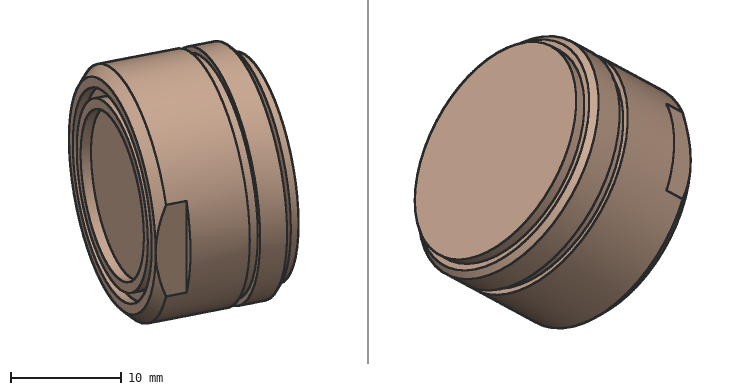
import cadquery as cq

body_diameter = 24.0
total_length = 14.0
front_chamfer = 1.0

boss_diameter = 21.5
boss_length = 1.0
back_chamfer = 0.6

outer_groove_diameter = 22.8
outer_groove_start = 8.75
outer_groove_width = 1.0

face_groove_outer_diameter = 20.0
ring_outer_diameter = 18.0
ring_inner_diameter = 16.0
face_groove_depth = 1.0
pocket_depth = 1.0

across_flats = body_diameter - 2 * front_chamfer
flat_length = 3.0


def cylinder(diameter, start, length):
    """Solid cylinder along +Y that begins at Y = start."""
    front_plane = cq.Workplane("XZ", origin=(0, start, 0))
    return front_plane.circle(diameter / 2).extrude(-length)


def tube(outer_diameter, inner_diameter, start, length):
    """Hollow cylinder along +Y that begins at Y = start."""
    return cylinder(outer_diameter, start, length).cut(cylinder(inner_diameter, start, length))


def wrench_flat_cutter(side):
    """Block that removes the body beyond the flat; side is +1 or -1 along X."""
    block = cq.Workplane("XY").box(
        body_diameter, flat_length, body_diameter, centered=(True, False, True)
    )
    return block.translate((side * (across_flats + body_diameter) / 2, 0, 0))


body_length = total_length - boss_length
body = cylinder(body_diameter, 0, body_length)
body = body.faces("<Y").chamfer(front_chamfer)
body = body.faces(">Y").chamfer(back_chamfer)
body = body.union(cylinder(boss_diameter, body_length, boss_length))

body = body.cut(tube(body_diameter, outer_groove_diameter, outer_groove_start, outer_groove_width))

body = body.cut(tube(face_groove_outer_diameter, ring_outer_diameter, 0, face_groove_depth))
body = body.cut(cylinder(ring_inner_diameter, 0, pocket_depth))

for side in (-1, 1):
    body = body.cut(wrench_flat_cutter(side))

result = body